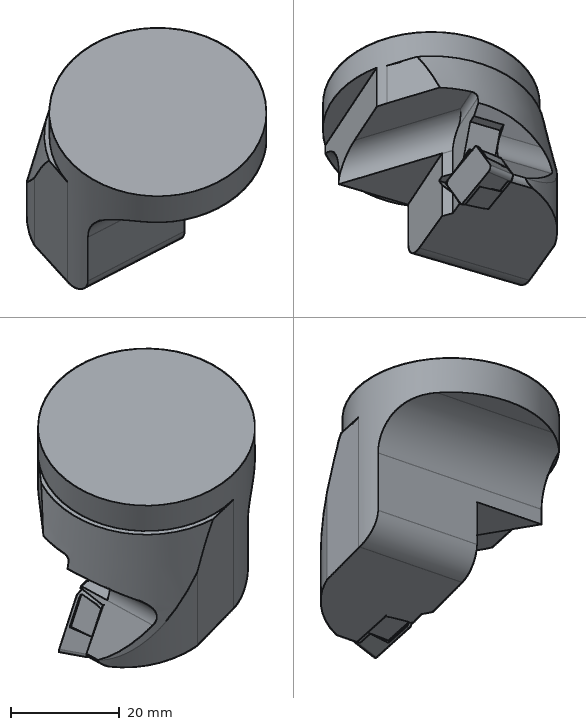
import cadquery as cq
import math

total_length = 46.85
head_diameter = 40.0
head_radius = head_diameter / 2
total_height = 38.0
insert_reach = total_length - head_radius
margin = 28.1

ledge_z = -6.8
cone_top_radius = 20.9
cone_slope = 0.19
trim_angle = 48.0
nose_radius = 19.4
nose_x = -7.12
nose_y = -1.0

relief_ceiling_z = -7.65
relief_wall_x = 5.62
relief_radius = 10.0
back_ceiling_z = -6.4
back_wall_y = 16.15
bottom_z = -35.9
bottom_angle = 3.4
heel_radius = 5.5

pocket_roof_z = -16.08
pocket_floor_z = -21.0
pocket_side_y = 0.75
pocket_depth_y = 2.2
pocket_wall = 8.25
pocket_fillet = 1.15

groove_mouth = (-23.2, -18.9)
groove_top = (-19.55, -21.7)
groove_deepest = (-18.25, -24.35)
groove_bottom = (-19.05, -26.95)
nose_tip = (-25.25, -36.05)
nose_tip_bulge = (-25.08, -36.85)
nose_tip_end = (-24.45, -37.35)

insert_side = 12.55
insert_angle = 55.0
insert_thickness = 5.25
insert_relief = 7.0
tip_radius = 0.8
rake_angle = 3.0
facet_depth = 0.55
facet_start = 6.25
facet_rim = 0.6
facet_below = facet_rim + insert_thickness
seat_top_x = -19.45
seat_wall_angle = 25.0
seat_top_z = -20.5
tip_x = tip_radius - insert_reach
tip_z = tip_radius - total_height


def polar(start, angle, length):
    """Point reached from start at an angle in degrees."""
    turn = math.radians(angle)
    return (start[0] + length * math.cos(turn), start[1] + length * math.sin(turn))


def block(x, y, z):
    """Box given by its (low, high) range on each axis."""
    return cq.Workplane("XY").box(x[1] - x[0], y[1] - y[0], z[1] - z[0], centered=False).translate(
        (x[0], y[0], z[0])
    )


def along_y(profile, y_low, y_high):
    """Extrude a closed XZ profile from y_low to y_high."""
    return profile.extrude(y_low - y_high).translate((0, y_low, 0))


insert_corner = polar(
    (tip_x, tip_z),
    bottom_angle + insert_angle / 2,
    -tip_radius / math.sin(math.radians(insert_angle / 2)),
)


def diamond():
    low = polar(insert_corner, bottom_angle, insert_side)
    high = polar(insert_corner, bottom_angle + insert_angle, insert_side)
    far = polar(high, bottom_angle, insert_side)
    return cq.Workplane("XZ").polyline([insert_corner, low, far, high]).close()


def tilt(shape):
    """Turn a shape about the upright line through the insert tip to give the rake."""
    return shape.rotate((tip_x, 0, 0), (tip_x, 0, 1), rake_angle)


def side_facet(angle, inward):
    """Shallow flat along one side; inward is the sign of the turn into the plate."""
    slope = math.tan(math.radians(insert_relief))
    outer = polar(insert_corner, angle, facet_start)
    end = polar(outer, angle, insert_side)
    depth = facet_depth + facet_rim * slope
    points = [
        polar(outer, angle - inward * 90, depth),
        polar(end, angle - inward * 90, depth),
        polar(end, angle + inward * 90, depth),
        polar(outer, angle + inward * 90, depth),
    ]
    tool = cq.Workplane("XZ").polyline(points).close().extrude(facet_below)
    return tool.translate((0, -facet_rim, 0))


def make_insert():
    plate = diamond().extrude(insert_thickness, taper=insert_relief)
    plate = plate.edges("not(<Y or >Y)").fillet(tip_radius)
    for angle, inward in ((bottom_angle, 1), (bottom_angle + insert_angle, -1)):
        plate = plate.cut(side_facet(angle, inward))
    return tilt(plate)


def make_neck():
    depth = total_height
    cone = cq.Workplane("XZ").polyline(
        [
            (0, ledge_z),
            (cone_top_radius, ledge_z),
            (cone_top_radius + cone_slope * depth, ledge_z - depth),
            (0, ledge_z - depth),
        ]
    ).close().revolve(360, (0, 0, 0), (0, 1, 0))
    trim = math.radians(trim_angle)
    flat_start = (-head_radius * math.cos(trim), head_radius * math.sin(trim))
    flat_end = polar(flat_start, 270 - trim_angle, margin)
    walls = cq.Workplane("XY").polyline(
        [(0, 0), flat_start, flat_end, (flat_end[0], -head_radius), (0, -head_radius)]
    ).close().extrude(-2 * depth)
    nose = cq.Workplane("XY").center(nose_x, nose_y).circle(nose_radius).extrude(-2 * depth)
    flat_x = nose_x - math.sqrt(nose_radius**2 - (head_radius + nose_y) ** 2)
    front = block((flat_x, 0), (-head_radius, head_radius), (-2 * depth, 0))
    return cone.intersect(walls).intersect(nose.union(front))


def shank_envelope():
    """Side outline of head and shank: relief arc, heel radius and sloping bottom."""
    slope = math.tan(math.radians(bottom_angle))
    left = -insert_reach - margin
    outline = cq.Workplane("XZ").polyline(
        [
            (left, 0),
            (margin, 0),
            (margin, relief_ceiling_z),
            (relief_wall_x, relief_ceiling_z),
            (relief_wall_x, bottom_z + relief_wall_x * slope),
            (left, bottom_z + left * slope),
        ]
    ).close()
    solid = along_y(outline, -margin, margin)
    at_heel = cq.selectors.NearestToPointSelector((relief_wall_x, 0, bottom_z))
    at_relief = cq.selectors.NearestToPointSelector((relief_wall_x, 0, relief_ceiling_z))
    solid = solid.edges("|Y").edges(at_heel).fillet(heel_radius)
    return solid.edges("|Y").edges(at_relief).fillet(relief_radius)


def groove():
    slope_x = margin * (groove_top[0] - groove_mouth[0]) / (groove_mouth[1] - groove_top[1])
    outside = (groove_mouth[0] - slope_x, groove_mouth[1] + margin)
    profile = (
        cq.Workplane("XZ")
        .moveTo(*outside)
        .lineTo(*groove_top)
        .threePointArc(groove_deepest, groove_bottom)
        .lineTo(*nose_tip)
        .threePointArc(nose_tip_bulge, nose_tip_end)
        .lineTo(nose_tip_end[0], -2 * total_height)
        .lineTo(outside[0], -2 * total_height)
        .close()
    )
    return along_y(profile, -margin, margin)


def chip_pocket():
    """Corner cut with a rounded roof running along the trim flat, plus a deeper level below."""
    radius = pocket_roof_z - pocket_floor_z
    center = (-pocket_wall - radius, pocket_floor_z)
    profile = (
        cq.Workplane("XZ")
        .moveTo(-2 * margin, pocket_roof_z)
        .lineTo(center[0], pocket_roof_z)
        .threePointArc(polar(center, 45, radius), (-pocket_wall, pocket_floor_z))
        .lineTo(-pocket_wall, -2 * total_height)
        .lineTo(-2 * margin, -2 * total_height)
        .close()
    )
    span = block((-2 * margin, margin), (pocket_side_y, margin), (-2 * total_height, pocket_roof_z))
    span = span.edges("|X and <Y and >Z").fillet(pocket_fillet)
    trough = along_y(profile, -2 * margin, 2 * margin).rotate((0, 0, 0), (0, 0, 1), -trim_angle)
    upper = trough.intersect(span)
    lower = block((-2 * margin, margin), (pocket_depth_y, margin), (-2 * total_height, pocket_floor_z))
    return upper.union(lower)


def insert_seat():
    """Recess for the insert, open towards the chip pocket, with room above its corner."""
    open_side = tilt(diamond().extrude(-insert_thickness))
    run = math.tan(math.radians(seat_wall_angle))
    profile = cq.Workplane("XZ").polyline(
        [
            (-insert_reach, seat_top_z),
            (seat_top_x, seat_top_z),
            (seat_top_x + run * (seat_top_z - groove_bottom[1]), groove_bottom[1]),
            (-insert_reach, groove_bottom[1]),
        ]
    ).close()
    room = along_y(profile, -insert_thickness, pocket_side_y)
    return open_side.union(room)


def make_holder(insert):
    head = cq.Workplane("XY").circle(head_radius).extrude(-2 * total_height)
    body = head.union(make_neck()).intersect(shank_envelope())
    body = body.cut(
        block((-margin, margin), (back_wall_y, margin), (-2 * total_height, back_ceiling_z))
    )
    return body.cut(groove()).cut(chip_pocket()).cut(insert_seat()).cut(insert)


insert = make_insert()
holder = make_holder(insert)
result = cq.Compound.makeCompound([holder.val(), insert.val()])